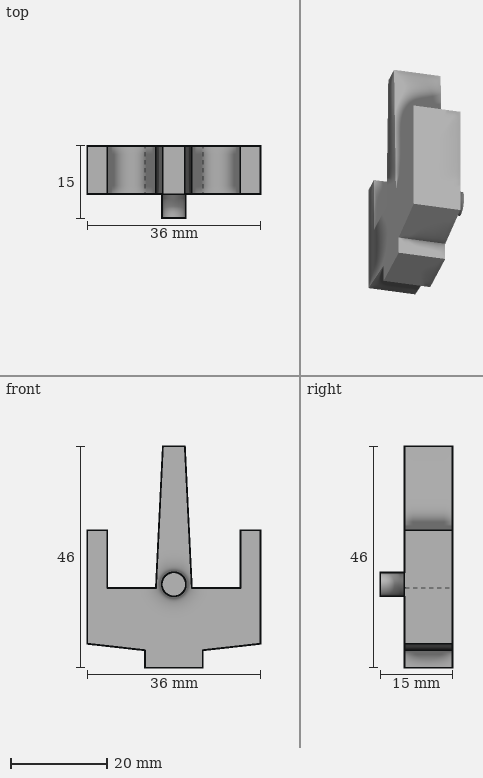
import cadquery as cq

body_width = 36.0
body_thickness = 10.0
total_height = 46.0

foot_width = 12.0
foot_height = 3.65
side_bottom_z = 5.0

arm_width = 4.2
arm_top_z = 28.6
slot_floor_z = 16.6

blade_base_width = 7.5
blade_tip_width = 4.6

pin_diameter = 5.0
pin_length = 5.0
pin_center_z = 17.35


def make_body():
    """Extrude the symmetric trident outline from the front face toward +Y."""
    half_width = body_width / 2
    arm_inner_x = half_width - arm_width
    right_half = [
        (foot_width / 2, 0),
        (foot_width / 2, foot_height),
        (half_width, side_bottom_z),
        (half_width, arm_top_z),
        (arm_inner_x, arm_top_z),
        (arm_inner_x, slot_floor_z),
        (blade_base_width / 2, slot_floor_z),
        (blade_tip_width / 2, total_height),
    ]
    left_half = [(-x, z) for x, z in reversed(right_half)]
    return cq.Workplane("XZ").polyline(right_half + left_half).close().extrude(-body_thickness)


def make_pin():
    """Cylinder projecting from the front face toward -Y."""
    return cq.Workplane("XZ").center(0, pin_center_z).circle(pin_diameter / 2).extrude(pin_length)


result = make_body().union(make_pin())